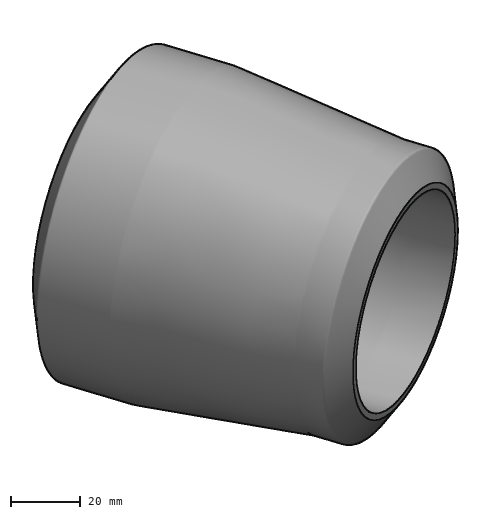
import cadquery as cq
import math

length = 100.0
wide_diameter = 101.6
wide_bore = 73.2
narrow_diameter = 88.9
narrow_bore = 66.9
taper_start = 30.0
taper_end = 85.1
bore_taper_start = 17.3
land_width = 2.0
bevel_angle = 30.0
bevel_edge_radius = 1.0
neck_radius = 3.0
edge_band = 0.1


def bevel_length(diameter, bore):
    """Axial length of the weld bevel at one end."""
    bevel_height = (diameter - bore) / 2 - land_width
    return bevel_height * math.tan(math.radians(bevel_angle))


def round_ring(body, x, radius):
    """Round the circular edge lying in the plane at x."""
    reach = wide_diameter
    low = (x - edge_band, -reach, -reach)
    high = (x + edge_band, reach, reach)
    ring = body.edges(cq.selectors.BoxSelector(low, high, boundingbox=True)).edges("%CIRCLE")
    return ring.fillet(radius)


wide_bevel_end = bevel_length(wide_diameter, wide_bore)
narrow_bevel_start = length - bevel_length(narrow_diameter, narrow_bore)

outer = (
    cq.Workplane("XY")
    .polyline([
        (0, 0),
        (0, wide_bore / 2 + land_width),
        (wide_bevel_end, wide_diameter / 2),
        (taper_start, wide_diameter / 2),
        (taper_end, narrow_diameter / 2),
        (narrow_bevel_start, narrow_diameter / 2),
        (length, narrow_bore / 2 + land_width),
        (length, 0),
    ])
    .close()
    .revolve(360, (0, 0, 0), (1, 0, 0))
)
outer = round_ring(outer, wide_bevel_end, bevel_edge_radius)
outer = round_ring(outer, taper_end, neck_radius)
outer = round_ring(outer, narrow_bevel_start, bevel_edge_radius)

bore = (
    cq.Workplane("XY")
    .polyline([
        (0, 0),
        (0, wide_bore / 2),
        (bore_taper_start, wide_bore / 2),
        (taper_end, narrow_bore / 2),
        (length, narrow_bore / 2),
        (length, 0),
    ])
    .close()
    .revolve(360, (0, 0, 0), (1, 0, 0))
)

result = outer.cut(bore)